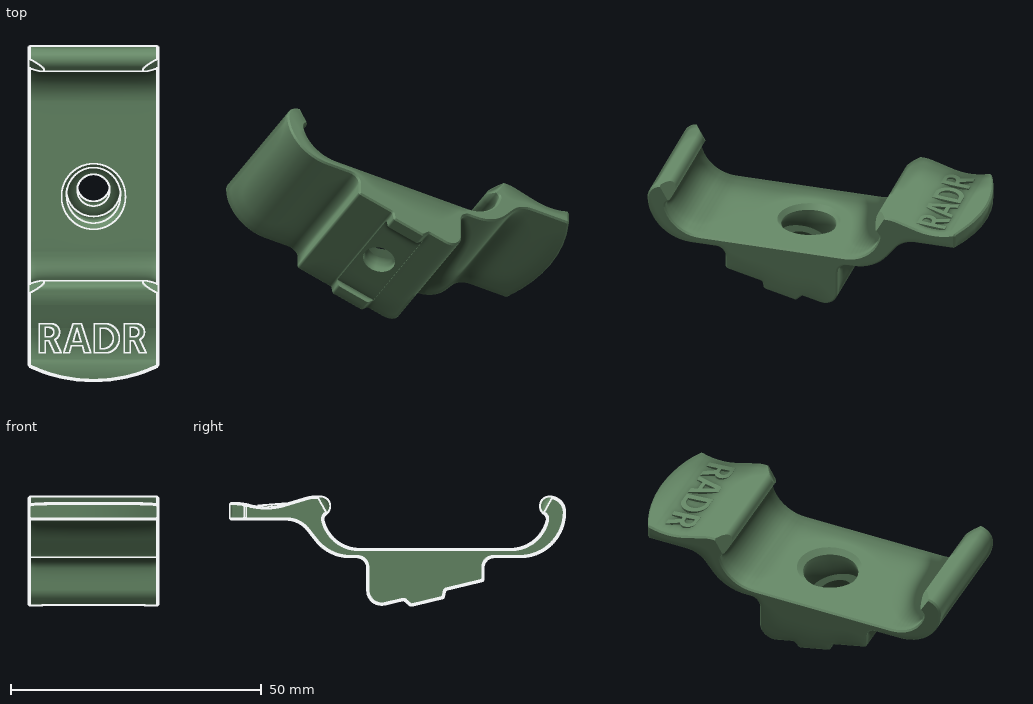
import cadquery as cq
import math


width = 26.0
floor_end = 15.1
saddle_radius = 7.4
neck_z = 5.6
bead_radius = 1.95
bead_y = 22.85
bead_z = 8.5
hook_outer_y = 26.0
front_hook_radius = 8.8
underside_z = -1.75
edge_chamfer = 0.35

tab_end_y = -41.0
tab_bottom_z = 5.75
tab_lip_z = 9.2
tab_lip_y = -39.95
tab_crest_y = -23.7
tab_slope_start = (-25.75, 10.2)
tab_dish_start = (-30.35, 8.8)
tab_dish_bottom = (-33.5, 8.3)
tab_dish_end = (-36.65, 8.65)
tab_root_angle = 52.0
tab_root_radius = 5.35
tab_side_end_y = -38.0

boss_rear_y = 9.7
boss_front_y = -13.6
boss_rear_z = -6.45
boss_slope = 13.5
step_y = 2.1
step_height = 1.6
step_lean = 0.35
tooth_y = -4.9
notch_y = -6.25
notch_height = 1.2
heel_radius = 2.95
boss_corner_radius = 0.55
boss_blend_radius = 2.0
slot_width = 20.45

hole_y = -4.1
hole_diameter = 6.5
counterbore_diameter = 10.8
counterbore_depth = 5.35
counterbore_chamfer = 1.0

bevel_top = (23.5, 10.45)
bevel_bottom = (21.8, 7.3)
bevel_inset = 2.7
bevel_depth = 1.35

letter_bottom_y = -35.3
letter_height = 5.8
letter_stem = 1.2
letter_top_rear_z = 9.1
letter_top_front_z = 8.65
letter_r_places = (-10.8, 6.2)
letter_a_place = -5.95
letter_d_place = 0.15

overshoot = 26.8
margin = 0.7
slope_rate = math.tan(math.radians(boss_slope))


def on_circle(centre, radius, degrees):
    angle = math.radians(degrees)
    return (centre[0] + radius * math.cos(angle), centre[1] + radius * math.sin(angle))


def mirrored(point):
    return (-point[0], point[1])


def extrude_across(profile, across):
    return profile.extrude(across / 2, both=True)


def neck_blend(neck, neck_angle, bead_centre):
    """Radius of the arc that leaves the saddle at the neck and meets the bead, and the bead angle there."""
    offset = (neck[0] - bead_centre[0], neck[1] - bead_centre[1])
    outward = on_circle((0, 0), 1, neck_angle)
    along = offset[0] * outward[0] + offset[1] * outward[1]
    radius = (offset[0] ** 2 + offset[1] ** 2 - bead_radius ** 2) / (2 * (along + bead_radius))
    centre = on_circle(neck, -radius, neck_angle)
    angle = math.degrees(math.atan2(centre[1] - bead_centre[1], centre[0] - bead_centre[0])) % 360
    return radius, angle


def build_cradle():
    saddle_centre = (floor_end, saddle_radius)
    neck_angle = math.degrees(math.asin((neck_z - saddle_radius) / saddle_radius))
    floor_point = (floor_end, 0)
    saddle_middle = on_circle(saddle_centre, saddle_radius, (neck_angle - 90) / 2)
    neck = on_circle(saddle_centre, saddle_radius, neck_angle)
    bead_centre = (bead_y, bead_z)
    neck_radius, bead_low_angle = neck_blend(neck, neck_angle, bead_centre)
    neck_centre = on_circle(neck, -neck_radius, neck_angle)
    neck_middle = on_circle(neck_centre, neck_radius, (neck_angle + bead_low_angle - 180) / 2)
    bead_low = on_circle(bead_centre, bead_radius, bead_low_angle)
    bead_tip = on_circle(bead_centre, bead_radius, (90 + bead_low_angle) / 2)
    bead_top = on_circle(bead_centre, bead_radius, 90)

    hook_top_radius = hook_outer_y - bead_y
    hook_top_centre = (bead_y, bead_top[1] - hook_top_radius)
    rear_hook_radius = hook_top_centre[1] - underside_z
    hook_centre = (hook_outer_y - rear_hook_radius, hook_top_centre[1])
    front_hook_centre = (-hook_centre[0], underside_z + front_hook_radius)

    root_direction = math.radians(tab_root_angle)
    root_start = on_circle(front_hook_centre, front_hook_radius, 270 - tab_root_angle)
    root_middle = on_circle(front_hook_centre, front_hook_radius, 270 - tab_root_angle / 2)
    root_rise = tab_bottom_z - root_start[1]
    root_corner_y = root_start[0] - root_rise / math.tan(root_direction)
    root_tangent = tab_root_radius * math.tan(root_direction / 2)
    root_end = (root_corner_y + root_tangent * math.cos(root_direction),
                tab_bottom_z - root_tangent * math.sin(root_direction))

    profile = (
        cq.Workplane("YZ")
        .moveTo(tab_end_y, tab_bottom_z)
        .lineTo(tab_end_y, tab_lip_z)
        .lineTo(tab_lip_y, tab_lip_z)
        .tangentArcPoint(tab_dish_end, relative=False)
        .threePointArc(tab_dish_bottom, tab_dish_start)
        .lineTo(*tab_slope_start)
        .tangentArcPoint((tab_crest_y, bead_top[1]), relative=False)
        .lineTo(*mirrored(bead_top))
        .threePointArc(mirrored(bead_tip), mirrored(bead_low))
        .threePointArc(mirrored(neck_middle), mirrored(neck))
        .threePointArc(mirrored(saddle_middle), mirrored(floor_point))
        .lineTo(*floor_point)
        .threePointArc(saddle_middle, neck)
        .threePointArc(neck_middle, bead_low)
        .threePointArc(bead_tip, bead_top)
        .threePointArc(on_circle(hook_top_centre, hook_top_radius, 45), (hook_outer_y, hook_top_centre[1]))
        .threePointArc(on_circle(hook_centre, rear_hook_radius, -45), (hook_centre[0], underside_z))
        .lineTo(front_hook_centre[0], underside_z)
        .threePointArc(root_middle, root_start)
        .lineTo(*root_end)
        .tangentArcPoint((root_corner_y - root_tangent, tab_bottom_z), relative=False)
        .close()
    )
    return extrude_across(profile, width)


def rear_slope_z(y):
    """Height of the rear sloped face of the boss underside, continued along Y."""
    return boss_rear_z - (boss_rear_y - y) * slope_rate


step_foot = (step_y - step_lean, rear_slope_z(step_y) - step_height)
tooth_point = (tooth_y, step_foot[1] - (step_foot[0] - tooth_y) * slope_rate)
notch_top = (notch_y, tooth_point[1] + notch_height)


def build_boss():
    heel_corner = (boss_front_y, notch_top[1] - (notch_y - boss_front_y) * slope_rate)
    profile = cq.Workplane("YZ").polyline([
        (boss_rear_y, underside_z / 2),
        (boss_rear_y, boss_rear_z),
        (step_y, rear_slope_z(step_y)),
        step_foot,
        tooth_point,
        notch_top,
        heel_corner,
        (boss_front_y, underside_z / 2),
    ]).close()
    boss = extrude_across(profile, width)
    boss = boss.edges("|X").edges("<Y").edges("<Z").fillet(heel_radius)
    corners = cq.selectors.BoxSelector(
        (-width, notch_y - margin, tooth_point[1] - margin),
        (width, boss_rear_y + margin, boss_rear_z + margin),
    )
    return boss.edges("|X").edges(corners).fillet(boss_corner_radius)


def blend_boss(body):
    for wall_y in (boss_rear_y, boss_front_y):
        body = body.edges(cq.selectors.BoxSelector(
            (-width, wall_y - margin, underside_z - margin),
            (width, wall_y + margin, underside_z + margin),
        )).fillet(boss_blend_radius)
    return body


def tab_tip_cutter():
    """Everything beyond the arc that rounds the end of the tab."""
    half = width / 2
    return (
        cq.Workplane("XY")
        .moveTo(-half, tab_side_end_y)
        .threePointArc((0, tab_end_y), (half, tab_side_end_y))
        .lineTo(half, tab_end_y - margin)
        .lineTo(-half, tab_end_y - margin)
        .close()
        .extrude(overshoot)
    )


def foot_slot():
    """Slot that leaves only a foot at each side of the tooth, level with the rear slope."""
    profile = cq.Workplane("YZ").polyline([
        (step_y, rear_slope_z(step_y)),
        (notch_y, rear_slope_z(notch_y)),
        (notch_y, tooth_point[1] - margin),
        (step_y, tooth_point[1] - margin),
    ]).close()
    return extrude_across(profile, slot_width)


def screw_hole():
    tilt = math.radians(boss_slope)
    axis = cq.Vector(0, math.sin(tilt), -math.cos(tilt))
    floor_centre = cq.Vector(0, hole_y, 0)
    outside = floor_centre - axis * overshoot
    floor_clear = overshoot + counterbore_depth
    hole = cq.Solid.makeCylinder(hole_diameter / 2, 2 * overshoot, outside, axis)
    counterbore = cq.Solid.makeCylinder(counterbore_diameter / 2, floor_clear, outside, axis)
    return hole, counterbore


def bead_bevel(side, end):
    """Wedge that bevels one bead end; side is the sign of X and end the sign of Y."""
    run = cq.Vector(0, end * (bevel_bottom[0] - bevel_top[0]), bevel_bottom[1] - bevel_top[1])
    inward = cq.Vector(-side, 0, 0)
    length = 2 * run.Length
    corner = cq.Vector(side * width / 2, end * bevel_top[0], bevel_top[1]) - run / 2
    plane = cq.Plane(origin=corner, xDir=inward, normal=run)
    depth = math.copysign(2 * bevel_depth, -end * plane.yDir.y)
    return (
        cq.Workplane(plane)
        .polyline([(0, 0), (2 * bevel_inset, depth), (0, depth)])
        .close()
        .extrude(length)
    )


def build_clip():
    clip = blend_boss(build_cradle().union(build_boss()))
    clip = clip.faces("<X or >X").edges().chamfer(edge_chamfer)
    clip = clip.cut(tab_tip_cutter())
    tip_point = (0, tab_end_y, (tab_bottom_z + tab_lip_z) / 2)
    clip = clip.faces(cq.selectors.NearestToPointSelector(tip_point)).edges().chamfer(edge_chamfer)
    clip = clip.cut(foot_slot())
    hole, counterbore = screw_hole()
    clip = clip.cut(counterbore)
    clip = clip.edges(cq.selectors.BoxSelector(
        (-counterbore_diameter, hole_y - counterbore_diameter, -margin),
        (counterbore_diameter, hole_y + counterbore_diameter, margin),
    )).edges("not %LINE").chamfer(counterbore_chamfer)
    clip = clip.cut(hole)
    for side in (-1, 1):
        for end in (-1, 1):
            clip = clip.cut(bead_bevel(side, end))
    return clip


def letter_plane(place):
    return cq.Workplane("XY", origin=(place, letter_bottom_y, tab_bottom_z))


def finish_letter(prism, clip):
    """Trim a letter to the sloping top plane and seat it on the dished tab."""
    front = letter_bottom_y
    rear = front + letter_height
    slab = cq.Workplane("YZ").polyline([
        (front, tab_bottom_z),
        (rear, tab_bottom_z),
        (rear, letter_top_rear_z),
        (front, letter_top_front_z),
    ]).close()
    return prism.intersect(extrude_across(slab, width)).cut(clip)


def build_letter_r(place, clip):
    leg_top = 2.4
    leg_inner_x = 1.9
    leg_foot = (3.0, 4.35)
    crotch = (3.1, 2.7)
    bowl_x = 4.0
    bowl_middle = 4.15
    bowl_start_x = 2.4
    eye_x = 1.95
    eye_low = 3.2
    eye_radius = 0.95
    outline = (
        letter_plane(place)
        .lineTo(letter_stem, 0)
        .lineTo(letter_stem, leg_top)
        .lineTo(leg_inner_x, leg_top)
        .lineTo(leg_foot[0], 0)
        .lineTo(leg_foot[1], 0)
        .lineTo(*crotch)
        .threePointArc((bowl_x, bowl_middle), (bowl_start_x, letter_height))
        .lineTo(0, letter_height)
        .close()
        .extrude(overshoot)
    )
    eye = (
        letter_plane(place)
        .moveTo(letter_stem, eye_low)
        .lineTo(eye_x, eye_low)
        .threePointArc((eye_x + eye_radius, eye_low + eye_radius), (eye_x, eye_low + 2 * eye_radius))
        .lineTo(letter_stem, eye_low + 2 * eye_radius)
        .close()
        .extrude(overshoot)
    )
    return finish_letter(outline.cut(eye), clip)


def build_letter_a(place, clip):
    feet = ((0, 1.15), (4.15, 5.4))
    bar_low = 1.4
    bar_ends = (1.55, 3.75)
    apex_ends = (1.9, 3.55)
    eye_corners = [(1.9, 2.2), (3.5, 2.2), (2.7, 4.9)]
    outline = letter_plane(place).polyline([
        (feet[0][0], 0),
        (feet[0][1], 0),
        (bar_ends[0], bar_low),
        (bar_ends[1], bar_low),
        (feet[1][0], 0),
        (feet[1][1], 0),
        (apex_ends[1], letter_height),
        (apex_ends[0], letter_height),
    ]).close().extrude(overshoot)
    eye = letter_plane(place).polyline(eye_corners).close().extrude(overshoot)
    return finish_letter(outline.cut(eye), clip)


def build_letter_d(place, clip):
    straight_x = 2.55
    outer_x = 5.0
    eye_low = 0.9
    eye_straight_x = 2.15
    eye_outer_x = 3.8

    def bow(left, low, straight, right):
        return (
            letter_plane(place)
            .moveTo(left, low)
            .lineTo(straight, low)
            .threePointArc((right, letter_height / 2), (straight, letter_height - low))
            .lineTo(left, letter_height - low)
            .close()
            .extrude(overshoot)
        )

    outline = bow(0, 0, straight_x, outer_x)
    eye = bow(letter_stem, eye_low, eye_straight_x, eye_outer_x)
    return finish_letter(outline.cut(eye), clip)


clip = build_clip()
letters_r = [build_letter_r(place, clip) for place in letter_r_places]
letter_a = build_letter_a(letter_a_place, clip)
letter_d = build_letter_d(letter_d_place, clip)

result = cq.Compound.makeCompound([
    clip.val(),
    *[letter.val() for letter in letters_r],
    letter_a.val(),
    letter_d.val(),
])